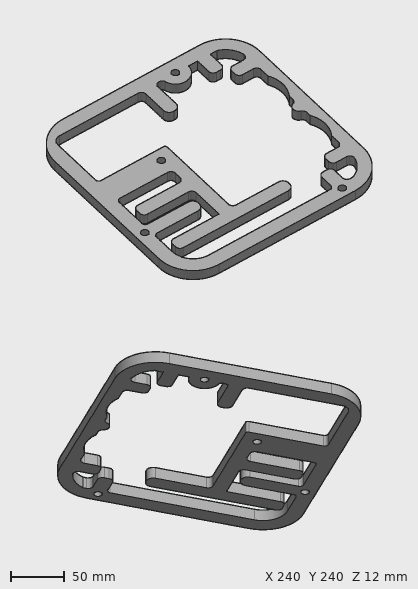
import cadquery as cq
import math

SIZE = 240.0
THICKNESS = 12.0
OUTER_RADIUS = 40.0
HALF = SIZE / 2

WALL = 15.5
TOP_WALL = 14.0
INNER = HALF - WALL
INNER_TOP = HALF - TOP_WALL
TOP_CORNER_RADIUS = 26.6
BOTTOM_LEFT_RADIUS = 8.5
BOTTOM_RIGHT_RADIUS = 24.5

BAR = 15.0
BAR_HALF = BAR / 2
TIP_RADIUS = 5.0
BLUNT_TIP_RADIUS = 6.7
ROOT_RADIUS = 5.0
SMALL_ROOT_RADIUS = 3.5
EMBED = 4.8

TOP_TAB_X = 72.2
TOP_TAB_END = 83.3
SIDE_TAB_Y = 73.2
SIDE_TAB_END = 82.0

LEFT_TAB_Y = 8.6
LEFT_TAB_END = -65.5

SCALLOP_X = 32.6
SCALLOP_TOP = 111.0
SCALLOP_RADIUS = 31.2
NUB_RADIUS = 6.5
NUB_Y = 105.0

BOSS_X = -105.0
BOSS_Y = 40.0
BOSS_RADIUS = 15.0

BLOCK_LEFT = -34.3
BLOCK_RIGHT = -5.0
BLOCK_RADIUS = 2.5
ARM_TOP = -25.0
ARM_BOTTOM = ARM_TOP - BAR
TALL_BAR_X = 75.0
TALL_BAR_TOP = 36.7
HANGING_BAR_X = 19.7
HANGING_END = -98.2
RISING_BAR_X = 45.0
RISING_BAR_TOP = -46.3

HOLE_DIAMETER = 8.0
HOLES = [(BOSS_X, BOSS_Y), (110.0, 72.2), (-21.0, -40.0), (RISING_BAR_X, -109.7)]

PICK = 0.1


def block(left, right, bottom, top):
    """Full-thickness block between the given X and Y limits."""
    center = ((left + right) / 2, (bottom + top) / 2)
    return cq.Workplane("XY").center(*center).rect(right - left, top - bottom).extrude(THICKNESS)


def disc(x, y, radius):
    """Full-thickness round disc."""
    return cq.Workplane("XY").center(x, y).circle(radius).extrude(THICKNESS)


def upright(x, bottom, top):
    """Bar along Y, centred on x."""
    return block(x - BAR_HALF, x + BAR_HALF, bottom, top)


def crossbar(y, left, right):
    """Bar along X, centred on y."""
    return block(left, right, y - BAR_HALF, y + BAR_HALF)


def round_corners(body, points, radius):
    """Fillet the upright edges that stand at the given XY points."""
    for x, y in points:
        near = cq.selectors.BoxSelector((x - PICK, y - PICK, 0), (x + PICK, y + PICK, THICKNESS))
        body = body.edges("|Z").edges(near).fillet(radius)
    return body


def x_pair(x, y):
    """The two corners of an upright bar at height y."""
    return [(x - BAR_HALF, y), (x + BAR_HALF, y)]


def y_pair(x, y):
    """The two corners of a crossbar at position x."""
    return [(x, y - BAR_HALF), (x, y + BAR_HALF)]


def circle_drop(radius, offset):
    """Distance from a circle's centre to the chord end that lies at the given offset."""
    return math.sqrt(radius**2 - offset**2)


def frame():
    plate = block(-HALF, HALF, -HALF, HALF).edges("|Z").fillet(OUTER_RADIUS)
    window = block(-INNER_TOP, INNER_TOP, -INNER, INNER_TOP)
    window = window.edges("|Z and >Y").fillet(TOP_CORNER_RADIUS)
    window = window.intersect(block(-INNER, INNER, -INNER, INNER_TOP))
    window = round_corners(window, [(-INNER, -INNER)], BOTTOM_LEFT_RADIUS)
    window = round_corners(window, [(INNER, -INNER)], BOTTOM_RIGHT_RADIUS)
    for side in (-1, 1):
        window = window.union(disc(side * SCALLOP_X, SCALLOP_TOP - SCALLOP_RADIUS, SCALLOP_RADIUS))
    return plate.cut(window)


def add_corner_tabs(body):
    wall = INNER + EMBED
    for side in (-1, 1):
        body = body.union(upright(side * TOP_TAB_X, TOP_TAB_END, INNER_TOP + EMBED))
        body = round_corners(body, x_pair(side * TOP_TAB_X, TOP_TAB_END), TIP_RADIUS)

        outer_x = TOP_TAB_X + BAR_HALF
        arc_center = INNER_TOP - TOP_CORNER_RADIUS
        outer_y = arc_center + circle_drop(TOP_CORNER_RADIUS, outer_x - arc_center)
        inner_x = TOP_TAB_X - BAR_HALF
        body = round_corners(body, [(side * outer_x, outer_y), (side * inner_x, INNER_TOP)], ROOT_RADIUS)

    body = body.union(crossbar(SIDE_TAB_Y, -wall, -SIDE_TAB_END))
    body = body.union(crossbar(SIDE_TAB_Y, SIDE_TAB_END, wall))
    for side in (-1, 1):
        body = round_corners(body, y_pair(side * SIDE_TAB_END, SIDE_TAB_Y), TIP_RADIUS)
    lower_root, upper_root = y_pair(INNER, SIDE_TAB_Y)
    body = round_corners(body, [upper_root], ROOT_RADIUS)
    return round_corners(body, [lower_root], SMALL_ROOT_RADIUS)


def add_nub(body):
    body = body.union(disc(0, NUB_Y, NUB_RADIUS))
    root_x = circle_drop(NUB_RADIUS, INNER_TOP - NUB_Y)
    return round_corners(body, [(-root_x, INNER_TOP), (root_x, INNER_TOP)], ROOT_RADIUS)


def add_boss_and_left_tab(body):
    body = body.union(disc(BOSS_X, BOSS_Y, BOSS_RADIUS))
    body = body.union(crossbar(LEFT_TAB_Y, -INNER - EMBED, LEFT_TAB_END))
    body = round_corners(body, y_pair(LEFT_TAB_END, LEFT_TAB_Y), BLUNT_TIP_RADIUS)
    lower_root, upper_root = y_pair(-INNER, LEFT_TAB_Y)
    boss_root = (-INNER, BOSS_Y - circle_drop(BOSS_RADIUS, -INNER - BOSS_X))
    body = round_corners(body, [lower_root], ROOT_RADIUS)
    return round_corners(body, [upper_root, boss_root], SMALL_ROOT_RADIUS)


def add_block_and_bars(body):
    floor = -INNER - EMBED
    body = body.union(block(BLOCK_LEFT, BLOCK_RIGHT, floor, ARM_TOP))
    body = body.union(block(BLOCK_LEFT, TALL_BAR_X, ARM_BOTTOM, ARM_TOP))
    body = body.union(upright(TALL_BAR_X, HANGING_END, TALL_BAR_TOP))
    body = body.union(upright(HANGING_BAR_X, HANGING_END, ARM_TOP))
    body = body.union(upright(RISING_BAR_X, floor, RISING_BAR_TOP))

    hanging_tips = x_pair(TALL_BAR_X, HANGING_END) + x_pair(HANGING_BAR_X, HANGING_END)
    rising_tips = x_pair(TALL_BAR_X, TALL_BAR_TOP) + x_pair(RISING_BAR_X, RISING_BAR_TOP)
    body = round_corners(body, hanging_tips, TIP_RADIUS)
    body = round_corners(body, rising_tips, BLUNT_TIP_RADIUS)

    arm_roots = x_pair(HANGING_BAR_X, ARM_BOTTOM) + [
        (BLOCK_RIGHT, ARM_BOTTOM),
        (TALL_BAR_X - BAR_HALF, ARM_TOP),
    ]
    floor_roots = x_pair(RISING_BAR_X, -INNER) + [(BLOCK_LEFT, -INNER), (BLOCK_RIGHT, -INNER)]
    body = round_corners(body, arm_roots, ROOT_RADIUS)
    body = round_corners(body, floor_roots, SMALL_ROOT_RADIUS)
    return round_corners(body, [(BLOCK_LEFT, ARM_TOP)], BLOCK_RADIUS)


def cut_holes(body):
    for x, y in HOLES:
        body = body.cut(disc(x, y, HOLE_DIAMETER / 2))
    return body


result = frame()
result = add_corner_tabs(result)
result = add_nub(result)
result = add_boss_and_left_tab(result)
result = add_block_and_bars(result)
result = cut_holes(result)